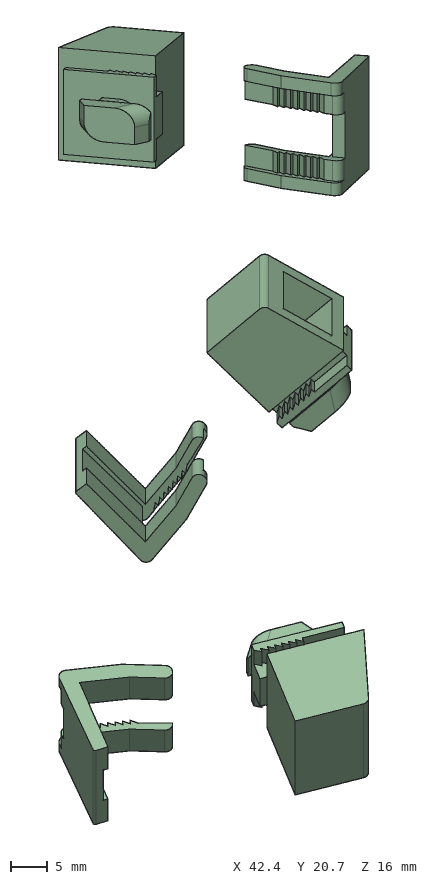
import cadquery as cq
import math


height = 16.0
corner_radius = 1.05

block_width = 14.0
block_depth = 12.5
slant_angle = 15.0
pocket_front = 1.85
pocket_back = 9.4
pocket_height = 11.1
pocket_wall = (height - pocket_height) / 2
pocket_end_x = block_width - pocket_wall

plate_left = 1.95
plate_right = 15.0
plate_front = -3.73
plate_thickness = 1.0
plate_height = 12.08
neck_height = 6.0
plate_tooth_count = 7
plate_tooth_pitch = 1.0
tooth_depth = 0.65

post_width = 5.0
head_height = 4.95
lock_centre_x = 10.0
post_length = 1.5
head_length = 10.0
head_depth = 3.0
head_straight_depth = 0.8
head_front_length = 7.3

leg_outer_bottom_x = 42.4
leg_outer_top_x = 41.85
leg_inner_top_x = 39.8
leg_inner_bottom_x = 39.95
leg_outer_top_y = 9.05
leg_inner_top_y = 8.95
leg_edge_radius = 0.3
arm_angle = 10.0
tip_angle = 20.0
arm_outer_corner_y = -5.97
arm_inner_corner_y = -3.1
outer_bend_x = 33.47
inner_bend_x = 33.15
tip_x = 27.2

recess_height = 12.37
arm_recess = 0.85
recess_tip_y = -1.1
clip_tooth_count = 8
clip_tooth_pitch = 1.0
last_tooth_x = 39.75
slot_height = 6.52
slot_leg_x = 40.45

clear_left = tip_x - corner_radius
clear_right = leg_outer_bottom_x + corner_radius
clear_front = arm_outer_corner_y - corner_radius
clear_back = leg_outer_top_y + corner_radius


def tan_deg(angle):
    return math.tan(math.radians(angle))


def cos_deg(angle):
    return math.cos(math.radians(angle))


def prism(points, prism_height):
    """An XY outline extruded equally above and below the middle plane."""
    base = cq.Workplane("XY", origin=(0, 0, -prism_height / 2))
    return base.polyline(points).close().extrude(prism_height)


def box(x_range, y_range, box_height):
    x0, x1 = x_range
    y0, y1 = y_range
    return prism([(x0, y0), (x1, y0), (x1, y1), (x0, y1)], box_height)


def make_block():
    slant_run = block_depth * tan_deg(slant_angle)
    outline = [(0, 0), (block_width, 0), (block_width, block_depth), (slant_run, block_depth)]
    block = prism(outline, height)
    block = block.edges("|Z").edges(">Y").edges("<X").fillet(corner_radius)
    return block.cut(box((0, pocket_end_x), (pocket_front, pocket_back), pocket_height))


def make_toothed_plate():
    plate_back = plate_front + plate_thickness
    neck = box((plate_left, plate_right), (plate_back, 0), neck_height)
    teeth_left = plate_right - plate_tooth_count * plate_tooth_pitch
    outline = [(plate_right, plate_front), (plate_left, plate_front), (plate_left, plate_back)]
    for i in range(plate_tooth_count):
        x = teeth_left + i * plate_tooth_pitch
        outline += [(x, plate_back), (x, plate_back + tooth_depth)]
    outline.append((plate_right, plate_back))
    return prism(outline, plate_height).union(neck)


def make_lock_prism(front_y, back_y, front_half, back_half, prism_height):
    """A lock section with a front and back half length, round at its upper right and lower left."""
    outline = [
        (lock_centre_x - front_half, front_y),
        (lock_centre_x + front_half, front_y),
        (lock_centre_x + back_half, back_y),
        (lock_centre_x - back_half, back_y),
    ]
    body = prism(outline, prism_height)
    middle_y = (front_y + back_y) / 2
    middle_half = (front_half + back_half) / 2
    for side in (1, -1):
        edge_middle = (lock_centre_x + side * middle_half, middle_y, side * prism_height / 2)
        body = body.edges(cq.selectors.NearestToPointSelector(edge_middle)).fillet(prism_height / 2)
    return body


def make_twist_lock():
    post_front = plate_front - post_length
    head_front = post_front - head_depth
    post = make_lock_prism(post_front, plate_front, post_width / 2, post_width / 2, post_width)

    front_half = head_front_length / 2
    end_half = head_length / 2
    end_slope = (end_half - front_half) / (head_depth - head_straight_depth)
    back_half = front_half + end_slope * head_depth
    wedge = make_lock_prism(head_front, post_front, front_half, back_half, head_height)
    head_ends = (lock_centre_x - end_half, lock_centre_x + end_half)
    envelope = box(head_ends, (head_front, post_front), head_height)
    return post.union(wedge.intersect(envelope))


def make_housing():
    return make_block().union(make_toothed_plate()).union(make_twist_lock())


def arm_front_y(x):
    return arm_outer_corner_y + (leg_outer_bottom_x - x) * tan_deg(arm_angle)


def tip_front_y(x):
    return arm_front_y(outer_bend_x) + (outer_bend_x - x) * tan_deg(tip_angle)


def make_clip_blank(blank_height):
    """The bent outline with a rounded tip and leg end; the corner of leg and arm is still sharp."""
    inner_bend_y = arm_inner_corner_y + (leg_inner_bottom_x - inner_bend_x) * tan_deg(arm_angle)
    inner_tip_y = inner_bend_y + (inner_bend_x - tip_x) * tan_deg(tip_angle)
    outline = [
        (leg_outer_bottom_x, arm_outer_corner_y),
        (leg_outer_top_x, leg_outer_top_y),
        (leg_inner_top_x, leg_inner_top_y),
        (leg_inner_bottom_x, arm_inner_corner_y),
        (inner_bend_x, inner_bend_y),
        (tip_x, inner_tip_y),
        (tip_x, tip_front_y(tip_x)),
        (outer_bend_x, arm_front_y(outer_bend_x)),
    ]
    blank = prism(outline, blank_height)
    outer_bend = (outer_bend_x, arm_front_y(outer_bend_x), 0)
    blank = blank.edges(cq.selectors.NearestToPointSelector(outer_bend)).fillet(corner_radius)
    blank = blank.edges("|Z").edges("<X").fillet(corner_radius)
    return blank.edges("|Z").edges(">Y").edges(">X").fillet(leg_edge_radius)


def make_front_recess():
    """The space in front of the arm's toothed face."""
    arm_shift = arm_recess / cos_deg(arm_angle)
    step_x = tooth_depth * math.sin(math.radians(arm_angle))
    step_y = tooth_depth * cos_deg(arm_angle)
    outline = [
        (clear_right, clear_front),
        (clear_left, clear_front),
        (clear_left, recess_tip_y),
        (tip_x, recess_tip_y),
    ]
    for i in range(clip_tooth_count, -1, -1):
        crest_x = last_tooth_x - i * clip_tooth_pitch
        crest_y = arm_front_y(crest_x) + arm_shift
        if i < clip_tooth_count:
            outline.append((crest_x, crest_y))
        if i > 0:
            outline.append((crest_x + step_x, crest_y + step_y))
    outline.append((clear_right, arm_front_y(clear_right) + arm_shift))
    return prism(outline, recess_height)


def make_slot():
    """The gap through the arm, which also thins the inner side of the leg."""
    arm_gap = box((clear_left, clear_right), (clear_front, arm_inner_corner_y), slot_height)
    leg_thinning = box((clear_left, slot_leg_x), (arm_inner_corner_y, clear_back), slot_height)
    return arm_gap.union(leg_thinning)


def round_outer_corner(body):
    """Rounds the outer corner where the arm meets the leg."""
    return body.edges("|Z").edges(">X").fillet(corner_radius)


def make_clip():
    """Two full-depth rims, above and below a toothed section that is set back between them."""
    rims = round_outer_corner(make_clip_blank(height))
    rims = rims.cut(box((clear_left, clear_right), (clear_front, clear_back), recess_height))
    toothed_section = round_outer_corner(make_clip_blank(recess_height).cut(make_front_recess()))
    return rims.union(toothed_section).cut(make_slot())


housing = make_housing()
clip = make_clip()
result = cq.Compound.makeCompound([housing.val(), clip.val()])